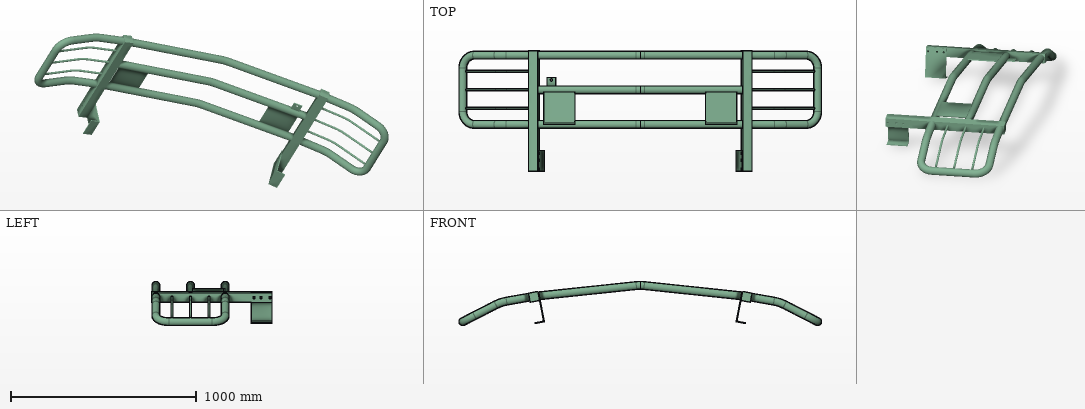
import cadquery as cq
import math


overall_length = 1951.0
beam_length = 650.0

tube_radius = 21.0
loop_depth = 373.0
corner_bend_radius = 70.0
tube_bend_radius = 205.0
inner_slope = math.radians(6)
outward_slope = math.radians(10)
outer_slope = math.radians(27.1)
outer_bend_x = 750.0
middle_overrun = 49.0

rod_radius = 5.0
rod_pitch = 100.0
rod_count = 3

beam_side = 50.0
beam_x = 572.0
beam_rear_y = 210.0
beam_tilt = math.radians(11)
beam_axis_drop = 3.0

bracket_width = 113.0
bracket_thickness = 4.9
bracket_height = 164.0
bracket_top_gap = 4.0
bracket_flange = 50.0
bolt_hole_diameter = 12.0
bolt_hole_setbacks = (12.0, 60.0, 98.0)

plate_inner_x = 350.0
plate_length = 170.0
plate_thickness = 5.0
plate_rear_y = -12.0
plate_top = 20.0

tab_x = 478.0
tab_width = 49.0
tab_thickness = 5.0
tab_rear_y = 66.0
tab_hole_diameter = 12.0
tab_hole_setback = 14.0

loop_half_depth = loop_depth / 2
loop_end_x = overall_length / 2 - tube_radius
beam_bend_z = -beam_x * math.tan(inner_slope)
outer_bend_z = beam_bend_z - (outer_bend_x - beam_x) * math.tan(outward_slope)
loop_end_z = outer_bend_z - (loop_end_x - outer_bend_x) * math.tan(outer_slope)
middle_overrun_z = -middle_overrun * math.tan(inner_slope)
beam_front_y = beam_rear_y - beam_length


def bent_bar(corners, bend_radii, bar_radius):
    """Round bar whose axis joins the corners, each inner corner rounded to its bend radius."""
    points = [cq.Vector(*corner) for corner in corners]
    edges = []
    start = points[0]
    for before, corner, after, radius in zip(points, points[1:], points[2:], bend_radii):
        back = (before - corner).normalized()
        ahead = (after - corner).normalized()
        half_angle = back.getAngle(ahead) / 2
        tangent_length = radius / math.tan(half_angle)
        middle_distance = radius / math.sin(half_angle) - radius
        bend_start = corner + back * tangent_length
        bend_middle = corner + (back + ahead).normalized() * middle_distance
        bend_end = corner + ahead * tangent_length
        edges.append(cq.Edge.makeLine(start, bend_start))
        edges.append(cq.Edge.makeThreePointArc(bend_start, bend_middle, bend_end))
        start = bend_end
    edges.append(cq.Edge.makeLine(start, points[-1]))
    axis = cq.Wire.assembleEdges(edges)
    section_plane = cq.Plane(origin=points[0], normal=points[1] - points[0])
    return cq.Workplane(section_plane).circle(bar_radius).sweep(cq.Workplane(axis))


def tilted_plane(x, z, slope):
    """XY-like plane through (x, 0, z) on the left half, its local X rising inwards at the slope."""
    return cq.Plane(
        origin=(x, 0, z),
        xDir=(math.cos(slope), 0, math.sin(slope)),
        normal=(-math.sin(slope), 0, math.cos(slope)),
    )


def block(plane, x_range, y_range, z_range):
    """Box given by its local ranges in the plane."""
    size = [high - low for low, high in (x_range, y_range, z_range)]
    corner = (x_range[0], y_range[0], z_range[0])
    return cq.Workplane(plane).box(*size, centered=False).translate(
        plane.toWorldCoords(corner) - plane.origin
    )


beam_plane = tilted_plane(-beam_x, beam_bend_z - beam_axis_drop, beam_tilt)
inner_plane = tilted_plane(0, 0, inner_slope)


def loop_half():
    """Left half of the loop, still running past X = 0 so that the middle bend can be cut there."""
    profile = [
        (middle_overrun, middle_overrun_z),
        (0, 0),
        (-beam_x, beam_bend_z),
        (-outer_bend_x, outer_bend_z),
        (-loop_end_x, loop_end_z),
    ]
    rear = [(x, loop_half_depth, z) for x, z in profile]
    front = [(x, -loop_half_depth, z) for x, z in reversed(profile)]
    rear_bends = [tube_bend_radius] * 3 + [corner_bend_radius]
    return bent_bar(rear + front, rear_bends + rear_bends[::-1], tube_radius)


def middle_tube_half():
    """Left half of the middle tube, ending inside the beam and still running past X = 0."""
    corners = [
        (middle_overrun, 0, middle_overrun_z),
        (0, 0, 0),
        (-beam_x, 0, beam_bend_z),
    ]
    return bent_bar(corners, [tube_bend_radius], tube_radius)


def rod(y):
    """Thin rod following the loop from the beam to the end of the loop."""
    corners = [
        (-beam_x, y, beam_bend_z),
        (-outer_bend_x, y, outer_bend_z),
        (-loop_end_x, y, loop_end_z),
    ]
    return bent_bar(corners, [tube_bend_radius], rod_radius)


def beam():
    """Square beam along Y, tilted with the frame."""
    half = beam_side / 2
    return block(beam_plane, (-half, half), (beam_front_y, beam_rear_y), (-half, half))


def bolt_holes():
    """Cylinders cut across the beam and the bracket."""
    centres = [(beam_front_y + setback, 0) for setback in bolt_hole_setbacks]
    across = cq.Plane(origin=beam_plane.origin, xDir=(0, 1, 0), normal=beam_plane.xDir)
    circles = cq.Workplane(across).pushPoints(centres).circle(bolt_hole_diameter / 2)
    return circles.extrude(beam_side, both=True)


def left_plate():
    """Flat plate recessed into the front tube and the middle tube."""
    inner_end = -plate_inner_x / math.cos(inner_slope)
    return block(
        inner_plane,
        (inner_end - plate_length, inner_end),
        (-loop_half_depth, plate_rear_y),
        (plate_top - plate_thickness, plate_top),
    )


def left_half_frame():
    """Loop half, middle tube half, rods and beam welded into one piece."""
    left_space = cq.Workplane().box(overall_length, overall_length, overall_length)
    left_space = left_space.translate((-overall_length / 2, 0, 0))
    frame = loop_half().union(middle_tube_half()).intersect(left_space).union(beam())
    first_rod_y = -(rod_count - 1) / 2 * rod_pitch
    for index in range(rod_count):
        frame = frame.union(rod(first_rod_y + index * rod_pitch))
    return frame.cut(bolt_holes()).cut(left_plate())


def left_bracket():
    """Angle bracket: a web on the inner face of the beam and a flange pointing outwards."""
    beam_face = beam_side / 2
    outer_face = beam_face + bracket_thickness
    top = beam_side / 2 - bracket_top_gap
    bottom = top - bracket_height
    depth = (beam_front_y, beam_front_y + bracket_width)
    web = block(beam_plane, (beam_face, outer_face), depth, (bottom, top))
    flange = block(
        beam_plane,
        (outer_face - bracket_flange, outer_face),
        depth,
        (bottom, bottom + bracket_thickness),
    )
    return web.union(flange).cut(bolt_holes())


def tab(frame):
    """Holed tab whose front end fits the round of the middle tube."""
    centre = -tab_x / math.cos(inner_slope)
    blank = block(
        inner_plane,
        (centre - tab_width / 2, centre + tab_width / 2),
        (0, tab_rear_y),
        (-tab_thickness, 0),
    )
    hole = (
        cq.Workplane(inner_plane)
        .center(centre, tab_rear_y - tab_hole_setback)
        .circle(tab_hole_diameter / 2)
        .extrude(tab_thickness, both=True)
    )
    return blank.cut(hole).cut(frame)


left_frame = left_half_frame()
left_bodies = [left_frame, left_bracket(), left_plate()]
right_bodies = [body.mirror("YZ") for body in left_bodies]
bodies = left_bodies + right_bodies + [tab(left_frame)]
result = cq.Compound.makeCompound([body.solids().val() for body in bodies])